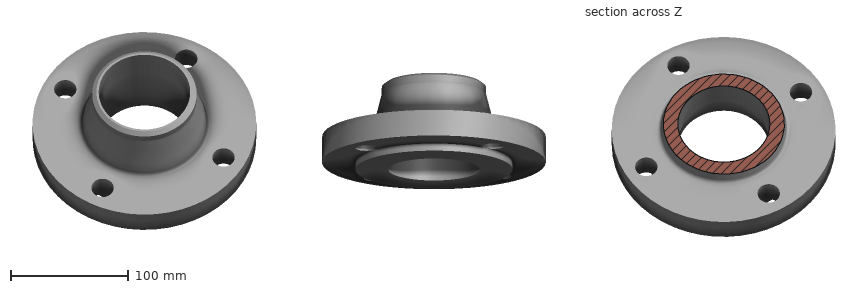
import cadquery as cq

flange_diameter = 190.5
flange_thickness = 22.5
face_diameter = 133.7
face_height = 6.3

total_height = 74.7
hub_base_diameter = 108.0
neck_diameter = 89.0
neck_end_height = 9.0
hub_fillet_radius = 3.0
bevel_height = 2.7
land_width = 1.9
bore_diameter = 77.9

bolt_count = 4
bolt_circle_diameter = 152.4
bolt_hole_diameter = 19.0

flange_top = face_height + flange_thickness
neck_start = total_height - neck_end_height
bevel_start = total_height - bevel_height
land_outer_radius = bore_diameter / 2 + land_width


def make_flange_body():
    """Revolve the solid half profile around Z and round the hub root."""
    profile = (
        cq.Workplane("XZ")
        .moveTo(0, 0)
        .lineTo(face_diameter / 2, 0)
        .lineTo(face_diameter / 2, face_height)
        .lineTo(flange_diameter / 2, face_height)
        .lineTo(flange_diameter / 2, flange_top)
        .lineTo(hub_base_diameter / 2, flange_top)
        .lineTo(neck_diameter / 2, neck_start)
        .lineTo(neck_diameter / 2, bevel_start)
        .lineTo(land_outer_radius, total_height)
        .lineTo(0, total_height)
        .close()
    )
    body = profile.revolve(360, (0, 0, 0), (0, 1, 0))
    flange_top_face = cq.selectors.NearestToPointSelector((0, 0, flange_top))
    inner_edge = cq.selectors.RadiusNthSelector(0)
    return body.faces(flange_top_face).edges(inner_edge).fillet(hub_fillet_radius)


def make_bore():
    """Straight bore through the whole part."""
    return cq.Workplane("XY").circle(bore_diameter / 2).extrude(total_height)


def make_bolt_holes():
    """Bolt holes through the flange plate, on the X and Y axes."""
    return (
        cq.Workplane("XY")
        .workplane(offset=face_height)
        .polarArray(bolt_circle_diameter / 2, 0, 360, bolt_count)
        .circle(bolt_hole_diameter / 2)
        .extrude(flange_thickness)
    )


result = make_flange_body().cut(make_bore()).cut(make_bolt_holes())